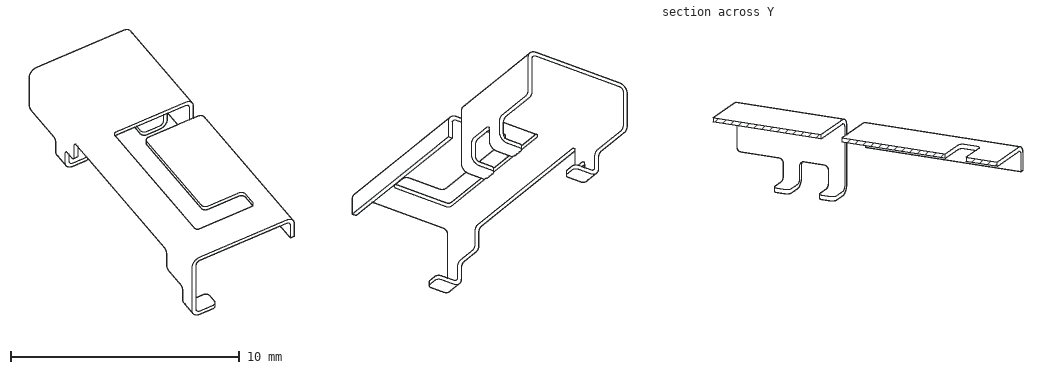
import cadquery as cq

length = 13.75
width = 5.22
height = 3.53

sheet = 0.2
inner_bend = 0.2
outer_bend = inner_bend + sheet
corner_radius = 0.2
slot_radius = 0.15
tab_reach = 1.26

step_z = height - 2.32
window_z = height - 1.21
leg_width = 0.8
first_leg_x = 2.24
window_left = 3.8
window_right = 11.59
end_leg_x = length - leg_width

slot_left = 5.22
tongue_left = 6.23
tongue_right = 11.23
slot_right = 12.24
slot_bottom = width / 2 - 4.1
tongue_bottom = width / 2 - 3.11
slot_top = width / 2 - 1.1


def box_section(inset, radius):
    """Rounded tube of full length, inset from the outer envelope."""
    return (
        cq.Workplane("YZ")
        .center(0, height / 2)
        .rect(width - 2 * inset, height - 2 * inset)
        .extrude(length)
        .edges("|X")
        .fillet(radius)
    )


def folded_channel():
    """Sheet channel with both lower edges turned inward."""
    tube = box_section(0, outer_bend).cut(box_section(sheet, inner_bend))
    gap = cq.Workplane("XY").box(
        length, width - 2 * tab_reach, 2 * outer_bend, centered=(False, True, True)
    )
    return tube.cut(gap)


def wall_blank(points, y_start):
    """Half-width block with a wall outline, rounded at its intermediate levels."""
    blank = cq.Workplane("XZ", origin=(0, y_start, 0)).polyline(points).close().extrude(-width / 2)
    between_levels = cq.selectors.BoxSelector(
        (-sheet, -width, step_z / 2), (length + sheet, width, (window_z + height) / 2)
    )
    return blank.edges("|Y").edges(between_levels).fillet(corner_radius)


def first_leg_outline():
    """Outline from the top of the -X end round the leg shared by both walls."""
    leg_end = first_leg_x + leg_width
    return [
        (0, height),
        (0, step_z),
        (first_leg_x, step_z),
        (first_leg_x, 0),
        (leg_end, 0),
        (leg_end, step_z),
    ]


def front_blank():
    """Front wall with a leg near each end and a long window between them."""
    points = first_leg_outline() + [
        (window_left, step_z),
        (window_left, window_z),
        (window_right, window_z),
        (window_right, step_z),
        (end_leg_x, step_z),
        (end_leg_x, 0),
        (length, 0),
        (length, height),
    ]
    return wall_blank(points, -width / 2)


def rear_left_blank():
    """Rear wall with two legs, ending at the slot."""
    leg_start = slot_left - leg_width
    points = first_leg_outline() + [
        (leg_start, step_z),
        (leg_start, 0),
        (slot_left, 0),
        (slot_left, height),
    ]
    return wall_blank(points, 0)


def rear_right_blank():
    """Shallow rear strip carrying the tongue, without a leg."""
    strip_length = length - tongue_left
    return cq.Workplane("XY", origin=(tongue_left, 0, window_z)).box(
        strip_length, width / 2, height - window_z, centered=False
    )


def top_slot():
    """Cutter for the slot around the tongue, open through the rear edge."""
    outline = [
        (slot_left, width / 2),
        (slot_left, slot_bottom),
        (slot_right, slot_bottom),
        (slot_right, slot_top),
        (tongue_right, slot_top),
        (tongue_right, tongue_bottom),
        (tongue_left, tongue_bottom),
        (tongue_left, width / 2),
    ]
    cutter = (
        cq.Workplane("XY", origin=(0, 0, height - outer_bend))
        .polyline(outline)
        .close()
        .extrude(outer_bend)
    )
    split_y = (slot_bottom + tongue_bottom) / 2
    lower_corners = cq.selectors.BoxSelector((0, -width, 0), (length, split_y, height))
    upper_corners = cq.selectors.BoxSelector((0, split_y, 0), (length, width / 2 - sheet, height))
    cutter = cutter.edges("|Z").edges(lower_corners).fillet(slot_radius)
    return cutter.edges("|Z").edges(upper_corners).fillet(corner_radius)


def round_tab_tips(body):
    outer_tip_y = width / 2 - tab_reach + sheet
    tips = cq.selectors.BoxSelector(
        (-sheet, -outer_tip_y, -sheet), (length + sheet, outer_tip_y, outer_bend)
    )
    return body.edges("|Z").edges(tips).fillet(corner_radius)


blank = front_blank().union(rear_left_blank()).union(rear_right_blank())
result = round_tab_tips(folded_channel().intersect(blank).cut(top_slot()))